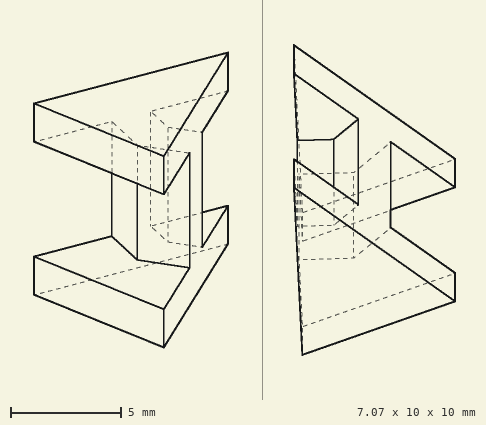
import cadquery as cq
import math

side = 10.0
apex_angle = 45.0
height = 10.0
flange_thickness = 2.0
web_thickness = 2.0

angle = math.radians(apex_angle)
along_x, along_y = math.sin(angle), -math.cos(angle)
inward_x, inward_y = along_y, -along_x


def flange(bottom_z):
    """Isosceles triangular plate with its apex at (0, side)."""
    corners = [(0, 0), (side * along_x, side + side * along_y), (0, side)]
    return cq.Workplane("XY").workplane(offset=bottom_z).polyline(corners).close().extrude(flange_thickness)


def slanted_side_point(distance):
    """Point on the slanted side at a distance from the apex."""
    return distance * along_x, side + distance * along_y


def inward_to_y(point, y):
    """Point where the inward line from a slanted-side point reaches the given Y."""
    travel = (y - point[1]) / inward_y
    return point[0] + travel * inward_x, y


def web():
    """Bent web whose legs meet the middles of the equal sides at right angles."""
    near = side / 2 - web_thickness / 2
    far = side / 2 + web_thickness / 2
    low_y, high_y = side - far, side - near
    outer_end = slanted_side_point(far)
    inner_end = slanted_side_point(near)
    outline = [
        (0, low_y),
        inward_to_y(outer_end, low_y),
        outer_end,
        inner_end,
        inward_to_y(inner_end, high_y),
        (0, high_y),
    ]
    return cq.Workplane("XY").polyline(outline).close().extrude(height)


result = web().union(flange(0)).union(flange(height - flange_thickness))